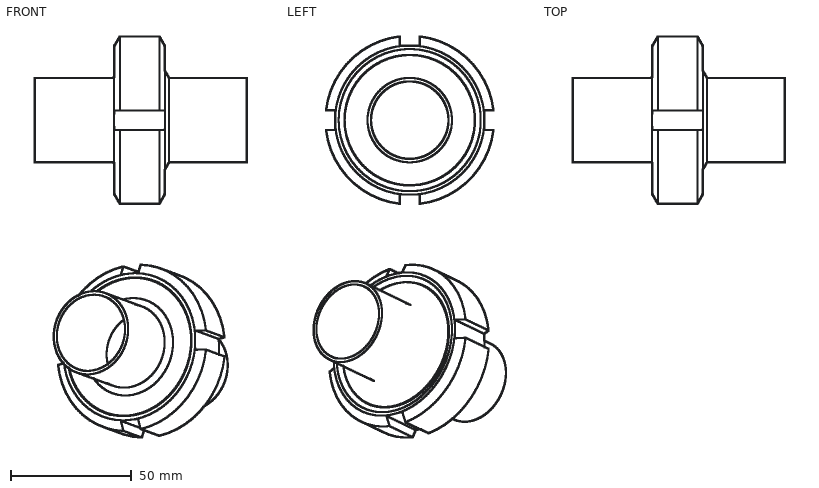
import cadquery as cq
import math

total_length = 88.0
end_x = total_length / 2
bore_radius = 32.0 / 2
tube_radius = 35.0 / 2

nut_left_x = -11.0
nut_right_x = 10.0
nut_radius = 34.98
nut_face_radius = 31.0
bevel_angle = math.radians(60)
bevel_length = (nut_radius - nut_face_radius) / math.tan(bevel_angle)
lip_radius = 54.2 / 2
mouth_radius = 29.5
mouth_depth = 1.2
cavity_radius = 58.4 / 2
cavity_x = -4.4
slot_count = 4
slot_width = 8.1
slot_floor_radius = 30.9

collar_face_x = -10.1
collar_radius = 53.9 / 2
collar_fillet = 1.9
flange_radius = 58.0 / 2
joint_x = 0.0

head_radius = 58.0 / 2
cone_base_radius = 41.0 / 2
cone_length = (cone_base_radius - tube_radius) / math.tan(bevel_angle)


def revolve_about_x(profile):
    """Revolve a closed (x, radius) profile around the X axis."""
    return profile.close().revolve(360, (0, 0, 0), (1, 0, 0))


def make_nut():
    profile = cq.Workplane("XY").polyline([
        (nut_left_x, mouth_radius),
        (nut_left_x, nut_face_radius),
        (nut_left_x + bevel_length, nut_radius),
        (nut_right_x - bevel_length, nut_radius),
        (nut_right_x, nut_face_radius),
        (nut_right_x, cavity_radius),
        (cavity_x, cavity_radius),
        (cavity_x, lip_radius),
        (nut_left_x + mouth_depth, lip_radius),
    ])
    nut = revolve_about_x(profile)

    slot = cq.Workplane("XY").box(
        nut_right_x - nut_left_x,
        slot_width,
        nut_radius - slot_floor_radius,
        centered=(False, True, False),
    ).translate((nut_left_x, 0, slot_floor_radius))
    for index in range(slot_count):
        nut = nut.cut(slot.rotate((0, 0, 0), (1, 0, 0), index * 360 / slot_count))
    return nut


def make_liner():
    profile = (
        cq.Workplane("XY")
        .moveTo(-end_x, bore_radius)
        .lineTo(-end_x, tube_radius)
        .lineTo(collar_face_x - collar_fillet, tube_radius)
        .radiusArc((collar_face_x, tube_radius + collar_fillet), -collar_fillet)
        .lineTo(collar_face_x, collar_radius)
        .lineTo(cavity_x, collar_radius)
        .lineTo(cavity_x, flange_radius)
        .lineTo(joint_x, flange_radius)
        .lineTo(joint_x, bore_radius)
    )
    return revolve_about_x(profile)


def make_threaded_fitting():
    profile = cq.Workplane("XY").polyline([
        (joint_x, bore_radius),
        (joint_x, head_radius),
        (nut_right_x, head_radius),
        (nut_right_x, cone_base_radius),
        (nut_right_x + cone_length, tube_radius),
        (end_x, tube_radius),
        (end_x, bore_radius),
    ])
    return revolve_about_x(profile)


nut = make_nut()
liner = make_liner()
threaded_fitting = make_threaded_fitting()

result = cq.Compound.makeCompound([nut.val(), liner.val(), threaded_fitting.val()])